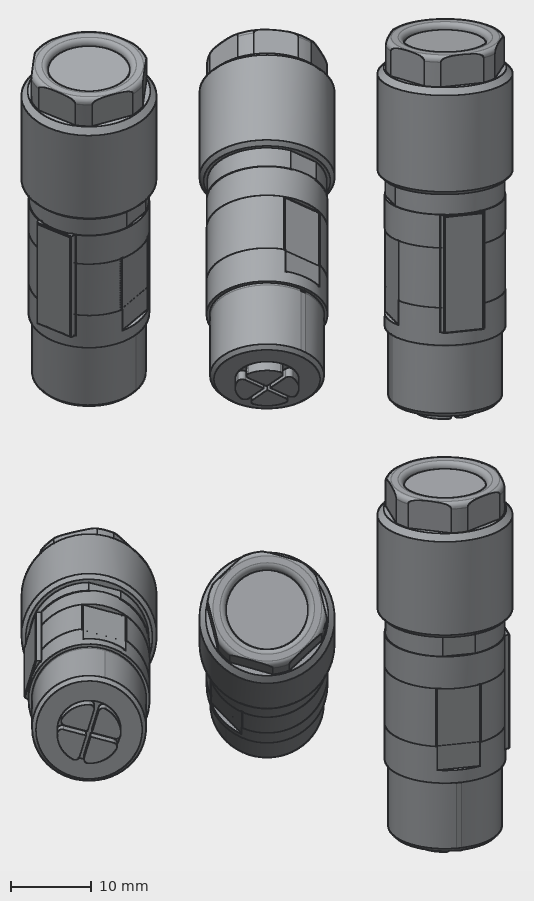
import cadquery as cq
import math

TOTAL_HEIGHT = 48.8
FACE_OFFSET = 6.95

NUT_RADIUS = 8.4
NUT_BOTTOM = 30.85
NUT_TOP_CHAMFER = 0.8
NUT_BOTTOM_CHAMFER = 0.55
HEX_BOTTOM = 44.8
HEX_CORNER_RADIUS = 7.45
HEX_TOP_ROUND = 0.75
ENTRY_RADIUS = 5.08
ENTRY_ROUND = 0.8
ENTRY_DEPTH = 0.85

BODY_RADIUS = 7.5
NECK_RADIUS = 7.4
NECK_FLAT_OFFSET = 7.12
COLLAR_TOP = 28.05
POCKET_BOTTOM = 12.65
POCKET_WIDTH = 5.45
FLANGE_BOTTOM = 10.95
BARREL_RADIUS = 7.1
BARREL_BOTTOM = 1.3
BARREL_CHAMFER = 0.5
BARREL_CHAMFER_HEIGHT = 0.55
BARREL_COLLAR_RADIUS = 7.12
BARREL_COLLAR_HEIGHT = 0.25
BARREL_STRIP_WIDTH = 0.7

BAND_BOTTOM = 15.85
BAND_TOP = 23.7
BAND_INNER_RADIUS = 6.35
STRAP_THICKNESS = 0.15
STRAP_SIDE_GAP = 0.15
STRAP_SEAT_OFFSET = FACE_OFFSET - STRAP_THICKNESS

KEY_FACE_OFFSET = 7.65
KEY_CHAMFER = 0.15
KEY_BASE_WIDTH = 5.55
KEY_TOP_WIDTH = 5.15

INSERT_RADIUS = 3.95
INSERT_SEAT_DEPTH = 1.95
INSERT_SLOT_WIDTH = 0.6
LOBE_CORNER_RADIUS = 0.6

CUTTER_SIZE = 4 * NUT_RADIUS


def cylinder(radius, bottom, top):
    """Solid cylinder on the Z axis."""
    return cq.Workplane("XY").workplane(offset=bottom).circle(radius).extrude(top - bottom)


def block(x_range, y_range, z_range):
    """Axis-aligned block given by its limits along X, Y and Z."""
    corner = (x_range[0], y_range[0], z_range[0])
    size = [limits[1] - limits[0] for limits in (x_range, y_range, z_range)]
    return cq.Workplane("XY").box(*size, centered=False).translate(corner)


def side_block(side, inner, outer, width, bottom, top):
    """Block centred on the X axis, between two distances from Z; side is +1 or -1."""
    x_range = sorted((side * inner, side * outer))
    return block(x_range, (-width / 2, width / 2), (bottom, top))


def key_seat(bottom, top):
    """Cutter that leaves a flat on the -Y side for the key to lie on."""
    half = CUTTER_SIZE / 2
    return block((-half, half), (-half, -FACE_OFFSET), (bottom, top))


def make_nut():
    """Chamfered sleeve below a rounded hexagon with a shallow cable entry."""
    sleeve = cylinder(NUT_RADIUS, NUT_BOTTOM, HEX_BOTTOM)
    sleeve = sleeve.faces(">Z").chamfer(NUT_TOP_CHAMFER).faces("<Z").chamfer(NUT_BOTTOM_CHAMFER)

    hex_height = TOTAL_HEIGHT - HEX_BOTTOM
    hex_corner_diameter = 2 * FACE_OFFSET / math.cos(math.pi / 6)
    hexagon = cq.Workplane("XY").workplane(offset=HEX_BOTTOM)
    hexagon = hexagon.polygon(6, hex_corner_diameter).extrude(hex_height)
    turned = cylinder(HEX_CORNER_RADIUS, HEX_BOTTOM, TOTAL_HEIGHT).faces(">Z").edges().fillet(HEX_TOP_ROUND)
    nut = sleeve.union(hexagon.intersect(turned))

    nut = nut.cut(cylinder(ENTRY_RADIUS, TOTAL_HEIGHT - ENTRY_DEPTH, TOTAL_HEIGHT))
    entry_rim = cq.selectors.RadiusNthSelector(0)
    return nut.faces(">Z").edges("%CIRCLE").edges(entry_rim).fillet(ENTRY_ROUND)


def housing_profile():
    """Half section of the housing in the XZ plane, with the groove for the grip band."""
    return [
        (0, BARREL_BOTTOM),
        (BARREL_RADIUS - BARREL_CHAMFER, BARREL_BOTTOM),
        (BARREL_RADIUS, BARREL_BOTTOM + BARREL_CHAMFER_HEIGHT),
        (BARREL_RADIUS, FLANGE_BOTTOM - BARREL_COLLAR_HEIGHT),
        (BARREL_COLLAR_RADIUS, FLANGE_BOTTOM),
        (BODY_RADIUS, FLANGE_BOTTOM),
        (BODY_RADIUS, BAND_BOTTOM),
        (BAND_INNER_RADIUS, BAND_BOTTOM),
        (BAND_INNER_RADIUS, BAND_TOP),
        (BODY_RADIUS, BAND_TOP),
        (BODY_RADIUS, COLLAR_TOP),
        (NECK_RADIUS, COLLAR_TOP),
        (NECK_RADIUS, NUT_BOTTOM),
        (0, NUT_BOTTOM),
    ]


def make_housing():
    """Turned housing with side pockets, straps over the band, neck flats and a key seat."""
    housing = cq.Workplane("XZ").polyline(housing_profile()).close().revolve(360, (0, 0, 0), (0, 1, 0))
    for side in (-1, 1):
        pocket = side_block(side, FACE_OFFSET, CUTTER_SIZE, POCKET_WIDTH, POCKET_BOTTOM, BAND_BOTTOM)
        neck_flat = side_block(side, NECK_FLAT_OFFSET, CUTTER_SIZE, CUTTER_SIZE, COLLAR_TOP, NUT_BOTTOM)
        strap = side_block(side, STRAP_SEAT_OFFSET, FACE_OFFSET, POCKET_WIDTH, BAND_BOTTOM, BAND_TOP)
        housing = housing.cut(pocket).cut(neck_flat).union(strap)
    housing = housing.cut(key_seat(POCKET_BOTTOM, COLLAR_TOP))

    strip_offset = math.sqrt(BARREL_RADIUS**2 - (BARREL_STRIP_WIDTH / 2) ** 2)
    strip_top = FLANGE_BOTTOM - BARREL_COLLAR_HEIGHT
    strip = side_block(-1, strip_offset, CUTTER_SIZE, BARREL_STRIP_WIDTH, BARREL_BOTTOM, strip_top)
    housing = housing.cut(strip)

    return housing.cut(cylinder(INSERT_RADIUS, BARREL_BOTTOM, BARREL_BOTTOM + INSERT_SEAT_DEPTH))


def make_band():
    """Ring in the housing groove, recessed under the two straps and flat under the key."""
    band = cylinder(BODY_RADIUS, BAND_BOTTOM, BAND_TOP)
    band = band.cut(cylinder(BAND_INNER_RADIUS, BAND_BOTTOM, BAND_TOP))
    recess_width = POCKET_WIDTH + 2 * STRAP_SIDE_GAP
    for side in (-1, 1):
        recess = side_block(side, STRAP_SEAT_OFFSET, CUTTER_SIZE, recess_width, BAND_BOTTOM, BAND_TOP)
        band = band.cut(recess)
    return band.cut(key_seat(BAND_BOTTOM, BAND_TOP))


def make_key():
    """Raised key with sloping sides and a chamfered outer face, lying on the key seat."""
    base_half_width = KEY_BASE_WIDTH / 2
    top_half_width = KEY_TOP_WIDTH / 2
    right_side = [
        (base_half_width, -FACE_OFFSET),
        (top_half_width, -(KEY_FACE_OFFSET - KEY_CHAMFER)),
        (top_half_width - KEY_CHAMFER, -KEY_FACE_OFFSET),
    ]
    left_side = [(-x, y) for x, y in reversed(right_side)]
    key = cq.Workplane("XY").workplane(offset=POCKET_BOTTOM).polyline(right_side + left_side).close()
    key = key.extrude(COLLAR_TOP - POCKET_BOTTOM)
    return key.faces("<Y").edges("|X").chamfer(KEY_CHAMFER)


def make_insert():
    """Round contact carrier whose protruding end is split into four rounded lobes."""
    insert = cylinder(INSERT_RADIUS, BARREL_BOTTOM, BARREL_BOTTOM + INSERT_SEAT_DEPTH)
    reach = (INSERT_SLOT_WIDTH / 2, CUTTER_SIZE)
    quadrant = block(reach, reach, (0, BARREL_BOTTOM))
    lobe = cylinder(INSERT_RADIUS, 0, BARREL_BOTTOM).intersect(quadrant)
    lobe = lobe.edges("|Z").edges(">X or >Y").fillet(LOBE_CORNER_RADIUS)
    for quarter in range(4):
        insert = insert.union(lobe.rotate((0, 0, 0), (0, 0, 1), 90 * quarter))
    return insert


nut = make_nut()
housing = make_housing()
band = make_band()
key = make_key()
insert = make_insert()

bodies = [nut, housing, band, key, insert]
result = cq.Compound.makeCompound([body.solids().val() for body in bodies])